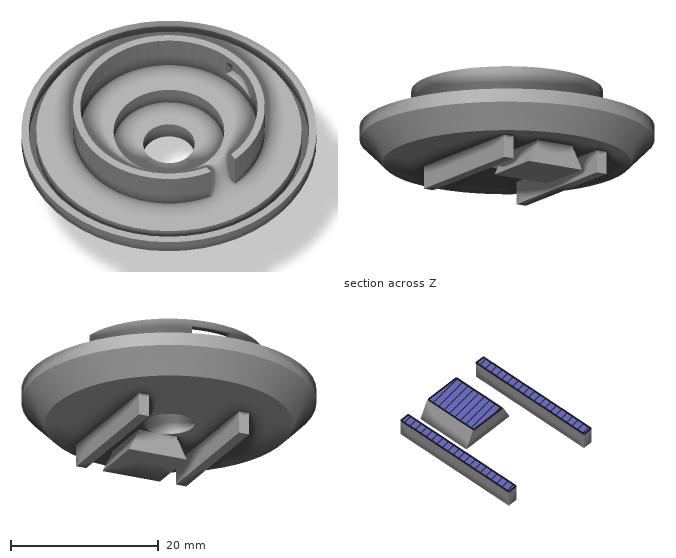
import cadquery as cq

flange_diameter = 40
flange_height = 5.0
rim_height = 1.85
cone_height = flange_height - rim_height
cone_base_diameter = flange_diameter - 2 * cone_height

groove_outer_diameter = 38
groove_inner_diameter = 36
groove_depth = 2

collar_outer_diameter = 26
collar_inner_diameter = 24
collar_height = 5.0
gap_width = 4
window_left = -3.1
window_right = 2.5
window_height = 2.5
window_top_margin = 1.0

recess_diameter = 15.0
recess_depth = 2.5
bore_diameter = 7.0

rail_height = 3.1
rail_front = -12
rail_back = 8
side_rail_width = 1.5
side_rail_offset = 7.5
dovetail_base_width = 8.6
dovetail_top_width = 6
dovetail_neck_width = 5.7
dovetail_neck_height = 0.5

rail_length = rail_back - rail_front
dovetail_back = -bore_diameter / 2
dovetail_length = dovetail_back - rail_front
rail_center_y = (rail_back + rail_front) / 2
collar_top = flange_height + collar_height


def disc(diameter, bottom, height):
    return cq.Workplane("XY").workplane(offset=bottom).circle(diameter / 2).extrude(height)


def ring(outer_diameter, inner_diameter, bottom, height):
    return disc(outer_diameter, bottom, height).cut(disc(inner_diameter, bottom, height))


def make_flange():
    cone = (
        cq.Workplane("XY")
        .circle(cone_base_diameter / 2)
        .workplane(offset=cone_height)
        .circle(flange_diameter / 2)
        .loft(ruled=True)
    )
    flange = cone.union(disc(flange_diameter, cone_height, rim_height))
    groove_floor = flange_height - groove_depth
    return flange.cut(ring(groove_outer_diameter, groove_inner_diameter, groove_floor, groove_depth))


def make_collar():
    collar = ring(collar_outer_diameter, collar_inner_diameter, flange_height, collar_height)
    gap = (
        cq.Workplane("XY")
        .box(collar_outer_diameter, gap_width, collar_height, centered=(False, True, False))
        .translate((0, 0, flange_height))
    )
    window = (
        cq.Workplane("XY")
        .box(window_right - window_left, collar_outer_diameter, window_height, centered=False)
        .translate((window_left, 0, collar_top - window_top_margin - window_height))
    )
    return collar.cut(gap).cut(window)


def make_side_rail(x):
    return (
        cq.Workplane("XY")
        .box(side_rail_width, rail_length, rail_height, centered=(True, True, False))
        .translate((x, rail_center_y, -rail_height))
    )


def make_dovetail():
    half_base = dovetail_base_width / 2
    half_top = dovetail_top_width / 2
    half_neck = dovetail_neck_width / 2
    outline = [
        (-half_base, -rail_height),
        (half_base, -rail_height),
        (half_top, -dovetail_neck_height),
        (half_neck, -dovetail_neck_height),
        (half_neck, 0),
        (-half_neck, 0),
        (-half_neck, -dovetail_neck_height),
        (-half_top, -dovetail_neck_height),
    ]
    return (
        cq.Workplane("XZ", origin=(0, dovetail_back, 0))
        .polyline(outline)
        .close()
        .extrude(dovetail_length)
    )


body = make_flange().union(make_collar()).union(make_dovetail())
for side in (-1, 1):
    body = body.union(make_side_rail(side * side_rail_offset))

recess = disc(recess_diameter, flange_height - recess_depth, recess_depth)
bore = disc(bore_diameter, 0, flange_height)
result = body.cut(recess).cut(bore)